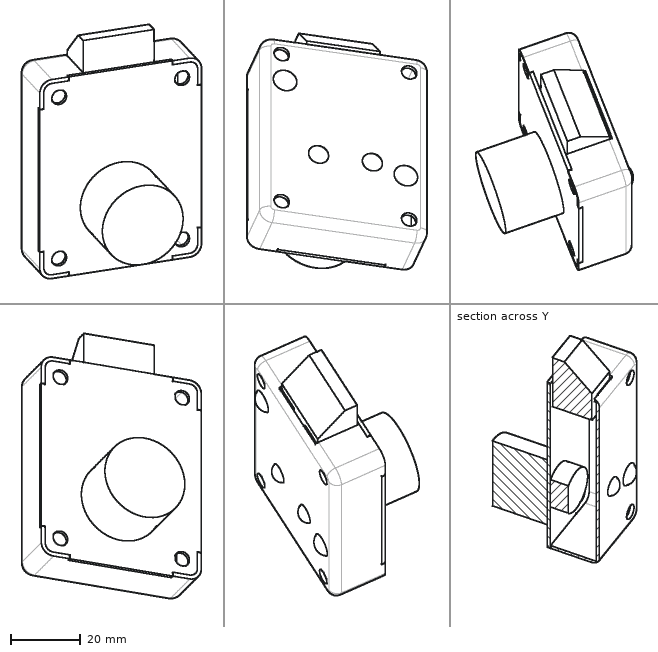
import cadquery as cq
import math


CASE_DEPTH = 17.15
CASE_WIDTH = 50.0
CASE_HEIGHT = 63.0
CORNER_RADIUS = 3.7
FRONT_EDGE_RADIUS = 2.7
WALL = 1.25
CAVITY_WIDTH = CASE_WIDTH - 2 * WALL
CAVITY_CORNER_RADIUS = CORNER_RADIUS - WALL
CASE_MIDDLE_Z = CASE_HEIGHT / 2

FIT_GAP = 0.15
SLOT_FRONT_X = 1.7

MOUNT_HOLE_DIAMETER = 4.5
MOUNT_HOLE_SPACING_Y = 38.0
MOUNT_HOLE_SPACING_Z = 51.0

LID_THICKNESS = 1.2
LID_INNER_X = CASE_DEPTH - LID_THICKNESS
TAB_WIDTH_Y = 32.0
TAB_WIDTH_Z = 45.0

BOLT_TOP_Z = 73
BOLT_FRONT_X = 2.5
BOLT_THICKNESS = 13.0
BOLT_BACK_X = BOLT_FRONT_X + BOLT_THICKNESS
BOLT_WIDTH = 22.0
BEVEL_RUN = 9.0
BEVEL_RISE = 8.5
BOLT_TAIL_LENGTH = 8.75
BOLT_BOTTOM_Z = CASE_HEIGHT - BOLT_TAIL_LENGTH
SHOULDER_TOP_Z = CASE_HEIGHT - WALL
SHOULDER_EDGE_RADIUS = 1.75
SHOULDER_NOTCH_WIDTH = 6.4

CYLINDER_DIAMETER = 25.0
CYLINDER_LENGTH = 17.9
CYLINDER_Z = 21.0
CORE_DIAMETER = 14.15
CORE_LENGTH = 5.85
CORE_Y = -4.7

RIVET_HEAD_HEIGHT = 2.0
LARGE_RIVET_DIAMETER = 7.0
SMALL_RIVET_DIAMETER = 6.0
LARGE_RIVET_Y = 18.0
SMALL_RIVET_Y = 8
SMALL_RIVET_Z = 24.0
TOP_RIVET_Z = 48.0
RIVETS = [
    (LARGE_RIVET_Y, TOP_RIVET_Z, LARGE_RIVET_DIAMETER),
    (-LARGE_RIVET_Y, CYLINDER_Z, LARGE_RIVET_DIAMETER),
    (SMALL_RIVET_Y, SMALL_RIVET_Z, SMALL_RIVET_DIAMETER),
    (-SMALL_RIVET_Y, SMALL_RIVET_Z, SMALL_RIVET_DIAMETER),
]


def block(x_start, x_end, y_size, z_start, z_end):
    """Box between two X and two Z positions, centred on Y = 0."""
    return cq.Workplane("XY").box(
        x_end - x_start, y_size, z_end - z_start, centered=(False, True, False)
    ).translate((x_start, 0, z_start))


def rod(diameter, x_start, length, y, z):
    """Round rod along X."""
    return cq.Workplane("YZ", origin=(x_start, y, z)).circle(diameter / 2).extrude(length)


def mount_holes():
    """Four corner rods that cut the mounting holes through the whole depth."""
    return (
        cq.Workplane("YZ", origin=(0, 0, CASE_MIDDLE_Z))
        .rect(MOUNT_HOLE_SPACING_Y, MOUNT_HOLE_SPACING_Z, forConstruction=True)
        .vertices()
        .circle(MOUNT_HOLE_DIAMETER / 2)
        .extrude(CASE_DEPTH)
    )


def tab_strips(gap):
    """Two crossed strips that reach the outer sides of the case, widened by a gap on each edge."""
    half_z = TAB_WIDTH_Z / 2 + gap
    upright = block(LID_INNER_X, CASE_DEPTH, TAB_WIDTH_Y + 2 * gap, 0, CASE_HEIGHT)
    level = block(LID_INNER_X, CASE_DEPTH, CASE_WIDTH, CASE_MIDDLE_Z - half_z, CASE_MIDDLE_Z + half_z)
    return upright.union(level)


def make_case():
    outside = block(0, CASE_DEPTH, CASE_WIDTH, 0, CASE_HEIGHT)
    outside = outside.edges("|X").fillet(CORNER_RADIUS).faces("<X").edges().fillet(FRONT_EDGE_RADIUS)
    cavity = block(WALL, CASE_DEPTH, CAVITY_WIDTH, WALL, CASE_HEIGHT - WALL)
    cavity = cavity.edges("|X").fillet(CAVITY_CORNER_RADIUS)
    bolt_slot = block(SLOT_FRONT_X, LID_INNER_X, BOLT_WIDTH + 2 * FIT_GAP, CASE_MIDDLE_Z, CASE_HEIGHT)
    return outside.cut(cavity).cut(bolt_slot).cut(tab_strips(FIT_GAP)).cut(mount_holes())


def make_lid():
    plate = block(LID_INNER_X, CASE_DEPTH, CAVITY_WIDTH, WALL, CASE_HEIGHT - WALL)
    plate = plate.edges("|X").fillet(CAVITY_CORNER_RADIUS)
    return plate.union(tab_strips(0)).cut(mount_holes())


def make_bolt():
    """Bevelled bolt with a round-edged shoulder, notched in the middle, against the front wall."""
    bolt = (
        cq.Workplane("XZ", origin=(0, BOLT_WIDTH / 2, 0))
        .moveTo(BOLT_FRONT_X, BOLT_BOTTOM_Z)
        .lineTo(BOLT_BACK_X, BOLT_BOTTOM_Z)
        .lineTo(BOLT_BACK_X, BOLT_TOP_Z)
        .lineTo(BOLT_FRONT_X + BEVEL_RUN, BOLT_TOP_Z)
        .lineTo(BOLT_FRONT_X, BOLT_TOP_Z - BEVEL_RISE)
        .close()
        .extrude(BOLT_WIDTH)
    )
    shoulder = block(WALL, BOLT_BACK_X, BOLT_WIDTH, BOLT_BOTTOM_Z, SHOULDER_TOP_Z)
    shoulder = shoulder.edges("<X and >Z").fillet(SHOULDER_EDGE_RADIUS)
    notch = block(WALL, BOLT_FRONT_X, SHOULDER_NOTCH_WIDTH, BOLT_BOTTOM_Z, SHOULDER_TOP_Z)
    return bolt.union(shoulder).cut(notch)


def make_rivet(y, z, diameter):
    """Spherical-cap head whose flat back lies on the case front."""
    sphere_radius = (diameter**2 / 4 + RIVET_HEAD_HEIGHT**2) / (2 * RIVET_HEAD_HEIGHT)
    sphere_centre_x = sphere_radius - RIVET_HEAD_HEIGHT
    mid_x = -RIVET_HEAD_HEIGHT / 2
    mid_radius = math.sqrt(sphere_radius**2 - (sphere_centre_x - mid_x) ** 2)
    return (
        cq.Workplane("XZ", origin=(0, y, z))
        .lineTo(0, diameter / 2)
        .threePointArc((mid_x, mid_radius), (-RIVET_HEAD_HEIGHT, 0))
        .close()
        .revolve(360, (0, 0, 0), (1, 0, 0))
    )


case = make_case()
lid = make_lid()
bolt = make_bolt()
cylinder = rod(CYLINDER_DIAMETER, CASE_DEPTH, CYLINDER_LENGTH, 0, CYLINDER_Z)
core = rod(CORE_DIAMETER, LID_INNER_X - CORE_LENGTH, CORE_LENGTH, CORE_Y, CYLINDER_Z)
rivets = [make_rivet(y, z, diameter) for y, z, diameter in RIVETS]

result = cq.Compound.makeCompound(
    [case.val(), lid.val(), bolt.val(), cylinder.val(), core.val(), *[rivet.val() for rivet in rivets]]
)